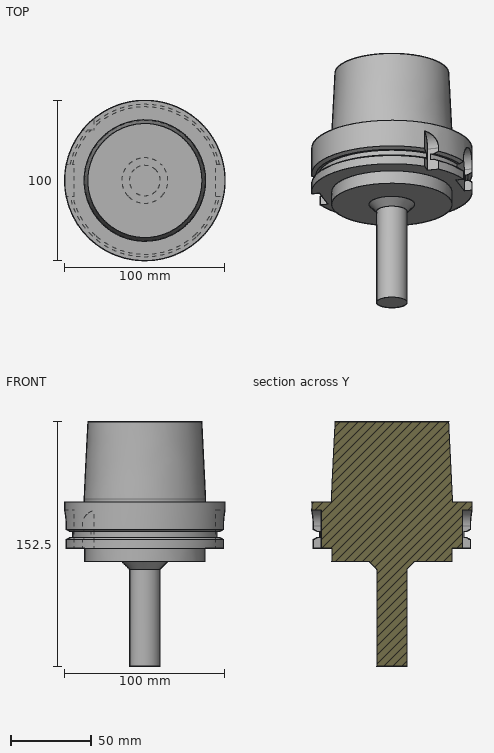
import cadquery as cq

total_height = 152.5
taper_height = 50.0
flange_thickness = 29.0
boss_height = 8.2
collar_height = 1.8
flange_top = total_height - taper_height
flange_bottom = flange_top - flange_thickness
boss_bottom = flange_bottom - boss_height

stem_radius = 19.0 / 2
boss_radius = 75.0 / 2
flange_radius = 100.0 / 2
collar_radius = 75.8 / 2
taper_top_radius = 71.0 / 2
stem_flare = 4.7

groove_radius = 46.0
groove_depth_from_top = 17.1
groove_opening = 6.4
groove_bevel_height = 1.4
groove_bevel_width = 2.5
groove_upper = flange_top - groove_depth_from_top
groove_lower = groove_upper - groove_opening
groove_lip_radius = flange_radius - groove_bevel_width

slot_width = 19.8
slot_radius = slot_width / 2
slot_top = flange_top - 5.0
key_floor = 44.0
notch_floor = 31.7
notch_center_y = 41.3


def turned_body():
    """Revolve the half profile of stem, boss, flange and taper about Z."""
    profile = [
        (0, 0),
        (stem_radius, 0),
        (stem_radius, boss_bottom - stem_flare),
        (stem_radius + stem_flare, boss_bottom),
        (boss_radius, boss_bottom),
        (boss_radius, flange_bottom),
        (flange_radius, flange_bottom),
        (flange_radius, groove_lower),
        (groove_lip_radius, groove_lower + groove_bevel_height),
        (groove_radius, groove_lower + groove_bevel_height),
        (groove_radius, groove_upper - groove_bevel_height),
        (groove_lip_radius, groove_upper - groove_bevel_height),
        (flange_radius, groove_upper),
        (flange_radius, flange_top),
        (collar_radius, flange_top),
        (collar_radius, flange_top + collar_height),
        (taper_top_radius, total_height),
        (0, total_height),
    ]
    return cq.Workplane("XZ").polyline(profile).close().revolve(360, (0, 0), (0, 1))


def rim_slot(center_y, floor_distance, side):
    """Cutter along X from the slot floor outwards; side is -1 or +1."""
    arch_start = slot_top - slot_radius
    return (
        cq.Workplane("YZ", origin=(side * floor_distance, center_y, 0))
        .moveTo(-slot_radius, flange_bottom)
        .lineTo(-slot_radius, arch_start)
        .threePointArc((0, slot_top), (slot_radius, arch_start))
        .lineTo(slot_radius, flange_bottom)
        .close()
        .extrude(side * flange_radius)
    )


result = turned_body()

for side in (-1, 1):
    result = result.cut(rim_slot(0, key_floor, side))

result = result.cut(rim_slot(notch_center_y, notch_floor, -1))